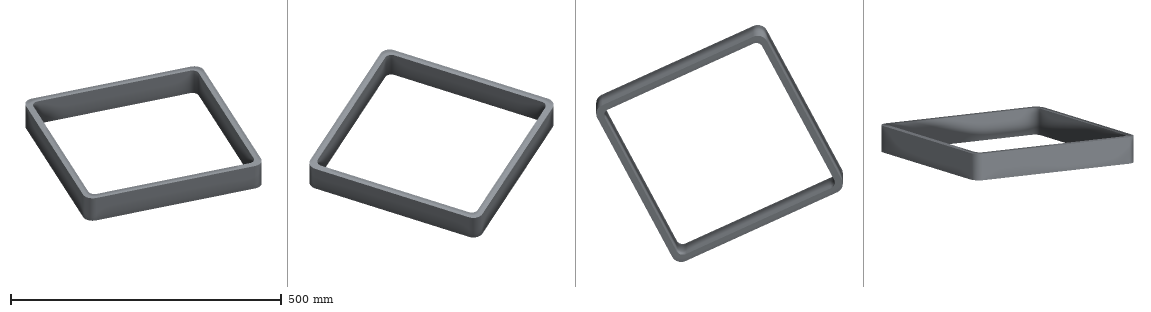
import cadquery as cq

SIDE = 350.0
HEIGHT = 50.0
WALL = 12.5

INNER_RADIUS = WALL
OUTER_RADIUS = 1.5 * WALL

INNER_SIDE = SIDE - 2 * WALL


def rounded_square_prism(side, radius):
    """Square prism standing on Z = 0 with rounded vertical edges."""
    return (
        cq.Workplane("XY")
        .rect(side, side)
        .extrude(HEIGHT)
        .edges("|Z")
        .fillet(radius)
    )


outer_block = rounded_square_prism(SIDE, OUTER_RADIUS)
opening = rounded_square_prism(INNER_SIDE, INNER_RADIUS)

result = outer_block.cut(opening)